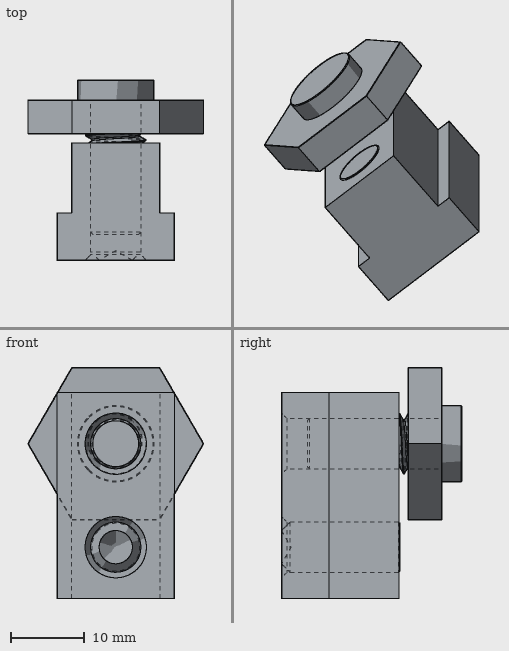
import cadquery as cq
import math

block_length = 27.9
flange_width = 15.85
flange_depth = 6.4
stem_width = 11.95
block_depth = 15.9
hole_offset = 7.0
bore_diameter = 6.8
countersink_diameter = 8.3
countersink_depth = 0.75

thread_crest_diameter = 8.15
thread_root_diameter = 6.5
thread_pitch = 1.25
thread_crest_flat = 0.12
thread_root_flat = 0.09
ridge_embed = 0.1
crest_behind_block = 0.35
lead_in_turns = 2
first_crest_y = block_depth + crest_behind_block - lead_in_turns * thread_pitch
thread_turns = 5

hex_corners = 23.8
hex_thickness = 4.6
hex_gap = 1.2
hex_chamfer = 0.06
hex_front = block_depth + hex_gap
hex_back = hex_front + hex_thickness

overall_depth = 24.42
head_diameter = 10.35
head_chamfer = 0.12
screw_end_y = 3.5
screw_end_diameter = 6.2

set_screw_length = 16.0
set_screw_back_diameter = 6.5
cup_rim_diameter = 4.5
cup_half_angle = 60.0
cup_depth = cup_rim_diameter / 2 / math.tan(math.radians(cup_half_angle))


def revolve_about_y(points):
    """Solid of revolution about the Y axis from (radius, y) points."""
    return cq.Workplane("XY").polyline(points).close().revolve(360, (0, 0, 0), (0, 1, 0))


def make_thread():
    """Right-hand threaded core on the Y axis that fills the gap between block and plate."""
    core_radius = thread_root_diameter / 2
    base_radius = core_radius - ridge_embed
    crest_radius = thread_crest_diameter / 2
    base_half = (thread_pitch - thread_root_flat) / 2
    crest_half = thread_crest_flat / 2
    helix = cq.Wire.makeHelix(thread_pitch, thread_turns * thread_pitch, core_radius)
    ridge = cq.Workplane("XZ").polyline([
        (base_radius, -base_half),
        (base_radius, base_half),
        (crest_radius, crest_half),
        (crest_radius, -crest_half),
    ]).close().sweep(cq.Workplane(helix), isFrenet=True)
    ridge = ridge.rotate((0, 0, 0), (1, 0, 0), -90).translate((0, first_crest_y, 0))
    gap = (
        cq.Workplane("XY", origin=(0, block_depth, 0))
        .box(head_diameter, hex_gap, head_diameter, centered=(True, False, True))
    )
    core = cq.Workplane("XZ", origin=(0, hex_front, 0)).circle(core_radius).extrude(hex_gap)
    return core.union(ridge.intersect(gap))


def make_headed_screw():
    """Screw with a round head behind the plate and a chamfered end inside the upper bore."""
    shank_radius = bore_diameter / 2
    end_radius = screw_end_diameter / 2
    head_radius = head_diameter / 2
    end = revolve_about_y([
        (0, screw_end_y),
        (end_radius, screw_end_y),
        (shank_radius, screw_end_y + shank_radius - end_radius),
        (shank_radius, block_depth),
        (0, block_depth),
    ])
    head = revolve_about_y([
        (0, hex_front),
        (shank_radius, hex_front),
        (shank_radius, hex_back),
        (head_radius, hex_back),
        (head_radius, overall_depth - head_chamfer),
        (head_radius - head_chamfer, overall_depth),
        (0, overall_depth),
    ])
    return make_thread().union(end).union(head).translate((0, 0, hole_offset))


def make_set_screw():
    """Set screw with a conical cup point at the front and a chamfered back end."""
    radius = bore_diameter / 2
    rim_radius = cup_rim_diameter / 2
    back_radius = set_screw_back_diameter / 2
    screw = revolve_about_y([
        (0, cup_depth),
        (rim_radius, 0),
        (radius, radius - rim_radius),
        (radius, set_screw_length - (radius - back_radius)),
        (back_radius, set_screw_length),
        (0, set_screw_length),
    ])
    return screw.translate((0, 0, -hole_offset))


def make_hex_plate():
    """Hexagonal plate with two corners along X, eased edges and a hole that fits the screw shank."""
    return (
        cq.Workplane("XZ", origin=(0, hex_back, hole_offset))
        .polygon(6, hex_corners)
        .extrude(hex_thickness)
        .faces("|Y")
        .chamfer(hex_chamfer)
        .cut(
            cq.Workplane("XZ", origin=(0, hex_back, hole_offset))
            .circle(bore_diameter / 2)
            .extrude(hex_thickness)
        )
    )


def make_block():
    """T-shaped block with two bores through its depth, countersunk at the front."""
    flange = cq.Workplane("XY").box(flange_width, flange_depth, block_length, centered=(True, False, True))
    stem = cq.Workplane("XY").box(stem_width, block_depth, block_length, centered=(True, False, True))
    block = flange.union(stem)
    bore_radius = bore_diameter / 2
    bore = revolve_about_y([
        (0, 0),
        (countersink_diameter / 2, 0),
        (bore_radius, countersink_depth),
        (bore_radius, block_depth),
        (0, block_depth),
    ])
    for height in (hole_offset, -hole_offset):
        block = block.cut(bore.translate((0, 0, height)))
    return block


headed_screw = make_headed_screw()
set_screw = make_set_screw()
hex_plate = make_hex_plate()
block = make_block()

result = cq.Compound.makeCompound([
    block.val(),
    hex_plate.val(),
    headed_screw.val(),
    set_screw.val(),
])